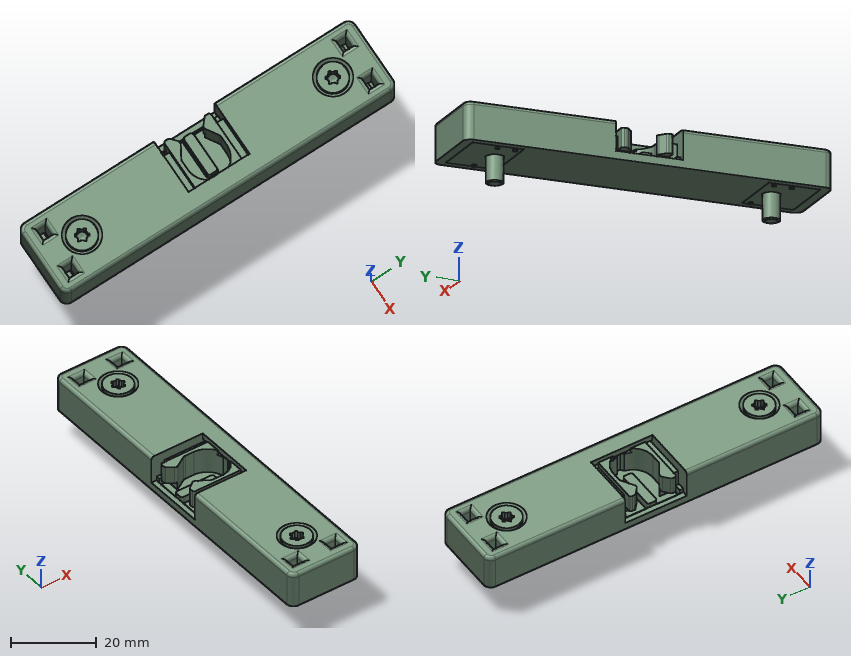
import cadquery as cq
import math

length = 93.0
width = 20.0
height = 9.6
corner_radius = 2.0
top_edge_radius = 0.9

screw_spacing = 70.0
screw_tip_z = -6.5
shank_diameter = 4.2
clearance_diameter = 4.5
head_diameter = 7.64
head_height = 4.9
tip_chamfer_height = 0.25
tip_chamfer_inset = 0.5
sink_chamfer = 0.9
head_top_z = height
head_seat_z = head_top_z - head_height
socket_radius = 1.35
lobe_offset = 1.4
lobe_radius = 0.35
lobe_count = 6
socket_depth = 2.0
socket_cone_depth = 0.6

window_x = 5.5
window_y = 41.85
window_length_x = 3.0
window_length_y = 2.5
window_rim_radius = 1.0

retainer_top_z = 2.0
retainer_half_width = 8.0
retainer_inner_y = 31.0
retainer_outer_y = 44.0
tab_inner_y = 41.0
tab_crest_y = 42.15
tab_outer_y = window_y + window_length_y / 2
tab_crest_z = 3.0
tab_heel_z = 2.6
foot_x = 7.0
foot_offset_y = 2.25
foot_diameter = 1.1
foot_drop = 0.3

pocket_half_width = 8.5
pocket_back_x = 4.9
undercut_back_x = 7.0
undercut_top_z = 8.0
lip_z = 2.0
lip_back_x = -8.5
floor_z = 1.0
rib_back_x = 2.5
rib_width = 2.6
rib_top_z = 3.1
rib_corner_radius = 0.6
stop_back_x = -6.6
stop_width = 1.0

block_front_x = -6.3
block_top_z = 7.0
base_top_z = 1.5
base_gap = 0.3
arm_front_x = -8.85
arm_outer_y = 6.5
arm_bottom_z = 3.6
arm_top_z = 8.4
nose_radius = 0.6
nose_y = 5.0
throat_x = -6.6
throat_y = 3.1
throat_radius = 0.9
shoulder_x = -2.8
shoulder_radius = 1.5
seat_radius = 5.45
seat_back_y = 1.0
notch_back_x = 6.2
notch_back_y = 0.4

OVERCUT = 1.0
SELECT_MARGIN = 0.1


def box(x_range, y_range, z_range):
    """Box between the given pairs of limits."""
    lengths = [high - low for low, high in (x_range, y_range, z_range)]
    corner = (x_range[0], y_range[0], z_range[0])
    return cq.Workplane("XY").box(*lengths, centered=False).translate(corner)


def cylinder(x, y, diameter, z_low, z_high):
    """Upright cylinder between two heights."""
    disc = cq.Workplane("XY", origin=(x, y, z_low)).circle(diameter / 2)
    return disc.extrude(z_high - z_low)


def make_screw(y):
    """Cylinder-head screw with a six-lobe socket that ends in a cone."""
    shank = cylinder(0, y, shank_diameter, screw_tip_z, head_seat_z)
    shank = shank.faces("<Z").chamfer(tip_chamfer_height, tip_chamfer_inset)
    screw = shank.union(cylinder(0, y, head_diameter, head_seat_z, head_top_z))

    socket_floor_z = head_top_z - socket_depth
    socket = cylinder(0, y, 2 * socket_radius, socket_floor_z, head_top_z)
    for lobe in range(lobe_count):
        angle = 2 * math.pi * lobe / lobe_count
        lobe_x = lobe_offset * math.cos(angle)
        lobe_y = y + lobe_offset * math.sin(angle)
        socket = socket.union(cylinder(lobe_x, lobe_y, 2 * lobe_radius, socket_floor_z, head_top_z))
    cone = cq.Solid.makeCone(
        socket_radius, 0, socket_cone_depth, cq.Vector(0, y, socket_floor_z), cq.Vector(0, 0, -1)
    )
    return screw.cut(socket).cut(cq.Workplane(cone))


def retainer_plate(side):
    """Solid plate of one end, without its screw hole."""
    y_range = sorted((side * retainer_inner_y, side * retainer_outer_y))
    return box((-retainer_half_width, retainer_half_width), y_range, (0, retainer_top_z))


def window_tab(side, x):
    """Upright tab that stands in a window, with a crest that slopes down outwards."""
    profile = cq.Workplane("YZ", origin=(x - window_length_x / 2, 0, 0)).polyline(
        [
            (side * tab_inner_y, 0),
            (side * tab_inner_y, tab_crest_z),
            (side * tab_crest_y, tab_crest_z),
            (side * tab_outer_y, tab_heel_z),
            (side * tab_outer_y, 0),
        ]
    )
    return profile.close().extrude(window_length_x)


def make_retainer(side):
    """Plate with two window tabs, a screw clearance hole and four small feet around the screw."""
    screw_y = side * screw_spacing / 2
    retainer = retainer_plate(side)
    for x in (-window_x, window_x):
        retainer = retainer.union(window_tab(side, x))
    for x in (-foot_x, foot_x):
        for y in (screw_y - foot_offset_y, screw_y + foot_offset_y):
            retainer = retainer.union(cylinder(x, y, foot_diameter, -foot_drop, retainer_top_z))
    return retainer.cut(cylinder(0, screw_y, clearance_diameter, 0, retainer_top_z))


def seat_outline():
    """Opening of the clip: flared mouth, throat, round seat and a tapered notch at the back."""
    back_x = math.sqrt(seat_radius**2 - seat_back_y**2)
    middle = seat_radius * math.sqrt(0.5)
    return (
        cq.Workplane("XY")
        .moveTo(arm_front_x, nose_y)
        .lineTo(throat_x, throat_y)
        .lineTo(shoulder_x, seat_radius)
        .lineTo(0, seat_radius)
        .threePointArc((middle, middle), (back_x, seat_back_y))
        .lineTo(notch_back_x, notch_back_y)
        .lineTo(notch_back_x, -notch_back_y)
        .lineTo(back_x, -seat_back_y)
        .threePointArc((middle, -middle), (0, -seat_radius))
        .lineTo(shoulder_x, -seat_radius)
        .lineTo(throat_x, -throat_y)
        .lineTo(arm_front_x, -nose_y)
        .close()
    )


def upright_edges(x, y):
    """Selector for the upright edges at (x, y) and (x, -y)."""
    return cq.selectors.BoxSelector(
        (x - SELECT_MARGIN, -y - SELECT_MARGIN, 0),
        (x + SELECT_MARGIN, y + SELECT_MARGIN, height),
    )


def clip_base():
    """Thin base plate, cut away with a small gap around the floor rib and the two stops."""
    y_range = (-pocket_half_width, pocket_half_width)
    base = box((lip_back_x + base_gap, undercut_back_x), y_range, (floor_z, base_top_z))
    rib_half_slot = rib_width / 2 + base_gap
    slot = box((lip_back_x, rib_back_x + base_gap), (-rib_half_slot, rib_half_slot), (floor_z, base_top_z))
    base = base.cut(slot.edges("|Z and >X").fillet(rib_corner_radius + base_gap))
    stop_inner_y = pocket_half_width - stop_width - base_gap
    for side in (-1, 1):
        stop_y = sorted((side * pocket_half_width, side * stop_inner_y))
        base = base.cut(box((lip_back_x, stop_back_x + base_gap), stop_y, (floor_z, base_top_z)))
    return base


def make_clip():
    """Block under the housing roof, two taller arms that reach out past its front, and a base plate."""
    block = box(
        (block_front_x, undercut_back_x), (-pocket_half_width, pocket_half_width), (floor_z, block_top_z)
    )
    arms = box((arm_front_x, pocket_back_x), (-arm_outer_y, arm_outer_y), (arm_bottom_z, arm_top_z))
    opening = seat_outline().extrude(height)
    clip = block.union(arms).cut(opening).union(clip_base())
    clip = clip.edges(upright_edges(throat_x, throat_y)).fillet(throat_radius)
    clip = clip.edges(upright_edges(shoulder_x, seat_radius)).fillet(shoulder_radius)
    return clip.edges("|Z").edges("<X").fillet(nose_radius)


def housing_shell():
    """Rectangular bar with rounded upright corners and a rounded top rim."""
    bar = cq.Workplane("XY").box(width, length, height, centered=(True, True, False))
    return bar.edges("|Z").fillet(corner_radius).faces(">Z").edges().fillet(top_edge_radius)


def cut_windows(housing):
    """Four rectangular windows with rounded rims."""
    centres = [(x, y) for x in (-window_x, window_x) for y in (-window_y, window_y)]
    opening = cq.Workplane("XY", origin=(0, 0, retainer_top_z)).pushPoints(centres)
    housing = housing.cut(opening.rect(window_length_x, window_length_y).extrude(height))
    for x, y in centres:
        rim = cq.selectors.BoxSelector(
            (x - window_length_x, y - window_length_y, height - SELECT_MARGIN),
            (x + window_length_x, y + window_length_y, height + SELECT_MARGIN),
            boundingbox=True,
        )
        housing = housing.edges(rim).fillet(window_rim_radius)
    return housing


def cut_screw_seat(housing, y):
    """Counterbore with a chamfered mouth and a clearance hole below it."""
    housing = housing.cut(cylinder(0, y, clearance_diameter, 0, height))
    housing = housing.cut(cylinder(0, y, head_diameter, head_seat_z, height))
    head_radius = head_diameter / 2
    mouth_base = cq.Vector(0, y, height - sink_chamfer)
    mouth = cq.Solid.makeCone(head_radius, head_radius + sink_chamfer, sink_chamfer, mouth_base)
    return housing.cut(cq.Workplane(mouth))


def cut_pocket(housing):
    """Pocket with a front lip, an undercut at the back, a floor rib and two front stops."""
    y_range = (-pocket_half_width, pocket_half_width)
    housing = housing.cut(box((-width / 2 - OVERCUT, pocket_back_x), y_range, (lip_z, height)))
    housing = housing.cut(box((lip_back_x, undercut_back_x), y_range, (floor_z, undercut_top_z)))
    rib = box((lip_back_x, rib_back_x), (-rib_width / 2, rib_width / 2), (floor_z, rib_top_z))
    housing = housing.union(rib.edges("|Z").fillet(rib_corner_radius))
    for side in (-1, 1):
        stop_y = sorted((side * pocket_half_width, side * (pocket_half_width - stop_width)))
        housing = housing.union(box((lip_back_x, stop_back_x), stop_y, (floor_z, rib_top_z)))
    return housing


def make_housing():
    housing = cut_windows(housing_shell())
    for side in (-1, 1):
        housing = cut_screw_seat(housing, side * screw_spacing / 2)
        housing = housing.cut(retainer_plate(side))
    return cut_pocket(housing)


housing = make_housing()
clip = make_clip()
screws = [make_screw(side * screw_spacing / 2) for side in (-1, 1)]
retainers = [make_retainer(side) for side in (-1, 1)]

result = cq.Compound.makeCompound(
    [
        housing.val(),
        clip.val(),
        *[screw.val() for screw in screws],
        *[retainer.val() for retainer in retainers],
    ]
)